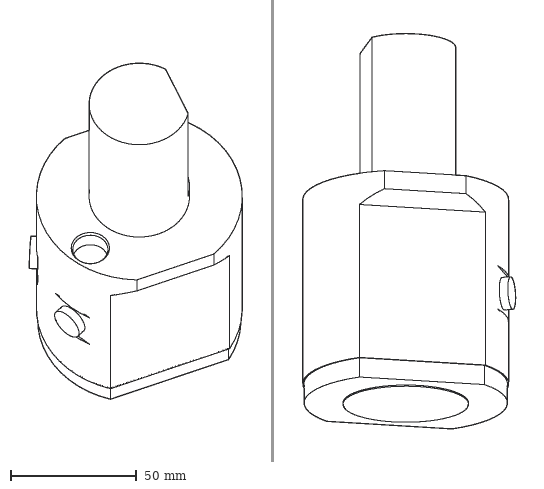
import cadquery as cq
import math

total_height = 148.0
locating_disc_height = 0.5
rim_top = 8.5
flange_top = 85.0
flange_edge_height = 7.5
shank_flat_start = 6.5

body_diameter = 82.0
flange_width = 75.0
body_width = 64.0
rim_step = 0.5
locating_disc_diameter = 50.0

shank_diameter = 40.0
shank_flat_distance = 16.2

hole_diameter = 14.0
hole_mouth_diameter = 15.2
hole_mouth_depth = 1.0
hole_depth = 7.5
hole_circle_radius = 32.0
hole_angle = -60.0

pin_diameter = 13.0
pin_face_distance = 43.5
pad_distance = 40.0
pad_height = 18.0
pin_height = 43.0
pin_spread = 26.0


def cylinder(diameter, bottom, top):
    """Upright cylinder on the Z axis."""
    return cq.Workplane("XY").workplane(offset=bottom).circle(diameter / 2).extrude(top - bottom)


def make_body():
    """Round body with side flats that widen through 45 degree slopes into the flange."""
    flange_half = flange_width / 2
    body_half = body_width / 2
    slope_top = flange_top - flange_edge_height
    slope_bottom = slope_top - (flange_half - body_half)
    profile = (
        cq.Workplane("XZ")
        .moveTo(body_half, rim_top)
        .lineTo(body_half, slope_bottom)
        .lineTo(flange_half, slope_top)
        .lineTo(flange_half, flange_top)
        .lineTo(-flange_half, flange_top)
        .lineTo(-flange_half, slope_top)
        .lineTo(-body_half, slope_bottom)
        .lineTo(-body_half, rim_top)
        .close()
        .extrude(body_diameter / 2, both=True)
    )
    return cylinder(body_diameter, rim_top, flange_top).intersect(profile)


def make_rim():
    """Slightly smaller bottom rim with the same flats, and the shallow disc below it."""
    rim_diameter = body_diameter - 2 * rim_step
    rim_width = body_width - 2 * rim_step
    rim_block = (
        cq.Workplane("XY")
        .workplane(offset=locating_disc_height)
        .rect(rim_width, rim_diameter)
        .extrude(rim_top - locating_disc_height)
    )
    rim = cylinder(rim_diameter, locating_disc_height, rim_top).intersect(rim_block)
    return rim.union(cylinder(locating_disc_diameter, 0, rim_top))


def make_shank():
    """Round shank with a flat on the +Y side above a short full round foot."""
    flat_bottom = flange_top + shank_flat_start
    cut_depth = shank_diameter / 2 - shank_flat_distance
    flat_cut = (
        cq.Workplane("XY")
        .workplane(offset=flat_bottom)
        .center(0, shank_flat_distance + cut_depth / 2)
        .rect(shank_diameter, cut_depth)
        .extrude(total_height - flat_bottom)
    )
    return cylinder(shank_diameter, flange_top, total_height).cut(flat_cut)


def cut_flange_hole(part):
    """Blind hole with a tapered mouth in the top of the flange."""
    angle = math.radians(hole_angle)
    position = (hole_circle_radius * math.cos(angle), hole_circle_radius * math.sin(angle), 0)
    hole = (
        cq.Workplane("XZ")
        .moveTo(0, flange_top - hole_depth)
        .lineTo(hole_diameter / 2, flange_top - hole_depth)
        .lineTo(hole_diameter / 2, flange_top - hole_mouth_depth)
        .lineTo(hole_mouth_diameter / 2, flange_top)
        .lineTo(0, flange_top)
        .close()
        .revolve(360, (0, 0), (0, 1))
    )
    return part.cut(hole.translate(position))


def add_pin(part, angle):
    """Flat pad and projecting pin, turned about Z from the -Y direction."""
    pad_depth = body_diameter / 2 - pad_distance
    pad_cut = cq.Workplane("XY").box(body_diameter, pad_depth, pad_height)
    pad_cut = pad_cut.translate((0, -pad_distance - pad_depth / 2, pin_height))
    pin = (
        cq.Workplane("XZ", origin=(0, -pad_distance, pin_height))
        .circle(pin_diameter / 2)
        .extrude(pin_face_distance - pad_distance)
    )
    origin, z_axis = (0, 0, 0), (0, 0, 1)
    return part.cut(pad_cut.rotate(origin, z_axis, angle)).union(pin.rotate(origin, z_axis, angle))


result = make_body().union(make_rim()).union(make_shank())
result = cut_flange_hole(result)
for side in (-1, 1):
    result = add_pin(result, side * pin_spread)